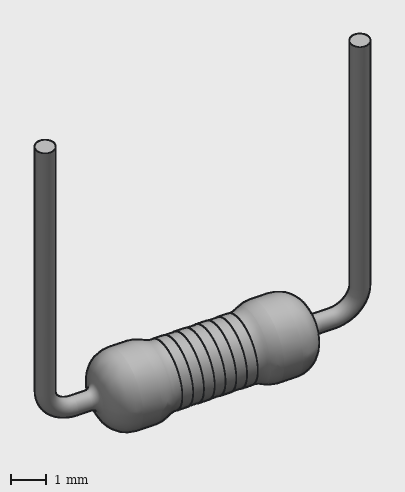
import cadquery as cq
import math


lead_diameter = 0.6
lead_spacing = 10.0
bend_radius = 0.9
total_height = 11.1

cap_diameter = 2.5
waist_diameter = 2.12
band_diameter = 2.14
cap_outer_y = 2.54
cap_inner_y = 1.94
shoulder_end_y = 1.2
dome_radius = 0.85
lead_fillet_y = 3.64

segment_count = 7

lead_radius = lead_diameter / 2
cap_radius = cap_diameter / 2
waist_radius = waist_diameter / 2
lead_y = lead_spacing / 2
lead_top_z = total_height - cap_radius
segment_width = 2 * shoulder_end_y / segment_count


def arc_midpoint(center, radius, start, end):
    """Point halfway along the short arc from start to end."""
    dx = (start[0] + end[0]) / 2 - center[0]
    dy = (start[1] + end[1]) / 2 - center[1]
    stretch = radius / math.hypot(dx, dy)
    return (center[0] + dx * stretch, center[1] + dy * stretch)


def make_end_cap():
    """Revolved end of the body on the +Y side, from the waist to the lead."""
    shoulder_length = cap_inner_y - shoulder_end_y
    shoulder_drop = cap_radius - waist_radius
    shoulder_radius = (shoulder_length**2 + shoulder_drop**2) / (4 * shoulder_drop)
    shoulder_mid = (
        (cap_radius + waist_radius) / 2,
        (cap_inner_y + shoulder_end_y) / 2,
    )
    waist_end = (waist_radius, shoulder_end_y)
    cap_start = (cap_radius, cap_inner_y)
    cap_end = (cap_radius, cap_outer_y)
    hollow_center = (waist_radius + shoulder_radius, shoulder_end_y)
    crown_center = (cap_radius - shoulder_radius, cap_inner_y)

    dome_center = (cap_radius - dome_radius, cap_outer_y)
    rise = lead_fillet_y - cap_outer_y
    offset = dome_center[0] - lead_radius
    flare_radius = (rise**2 + offset**2 - dome_radius**2) / (2 * (dome_radius + offset))
    flare_center = (lead_radius + flare_radius, lead_fillet_y)
    fraction = dome_radius / (dome_radius + flare_radius)
    dome_end = (
        dome_center[0] + fraction * (flare_center[0] - dome_center[0]),
        dome_center[1] + fraction * (flare_center[1] - dome_center[1]),
    )
    wire_start = (lead_radius, lead_fillet_y)

    return (
        cq.Workplane("XY")
        .moveTo(0, shoulder_end_y)
        .lineTo(*waist_end)
        .threePointArc(arc_midpoint(hollow_center, shoulder_radius, waist_end, shoulder_mid), shoulder_mid)
        .threePointArc(arc_midpoint(crown_center, shoulder_radius, shoulder_mid, cap_start), cap_start)
        .lineTo(*cap_end)
        .threePointArc(arc_midpoint(dome_center, dome_radius, cap_end, dome_end), dome_end)
        .threePointArc(arc_midpoint(flare_center, flare_radius, dome_end, wire_start), wire_start)
        .lineTo(0, lead_fillet_y)
        .close()
        .revolve(360, (0, 0, 0), (0, 1, 0))
    )


def make_lead():
    """Wire on the +Y side, leaving the body and bending upward."""
    bend_start_y = lead_y - bend_radius
    bend_mid = arc_midpoint(
        (bend_start_y, bend_radius), bend_radius, (bend_start_y, 0), (lead_y, bend_radius)
    )
    path = (
        cq.Workplane("YZ")
        .moveTo(lead_fillet_y, 0)
        .lineTo(bend_start_y, 0)
        .threePointArc(bend_mid, (lead_y, bend_radius))
        .lineTo(lead_y, lead_top_z)
    )
    return cq.Workplane("XZ", origin=(0, lead_fillet_y, 0)).circle(lead_radius).sweep(path)


def make_disc(radius, start_y, length):
    """Cylinder on the body axis, extending toward +Y from start_y."""
    return cq.Workplane("XZ", origin=(0, start_y, 0)).circle(radius).extrude(-length)


end_assembly = make_end_cap().union(make_lead())
waist = make_disc(waist_radius, -shoulder_end_y, 2 * shoulder_end_y)
result = waist.union(end_assembly).union(end_assembly.mirror("XZ"))

for segment in range(0, segment_count, 2):
    band_start_y = segment * segment_width - shoulder_end_y
    result = result.union(make_disc(band_diameter / 2, band_start_y, segment_width))